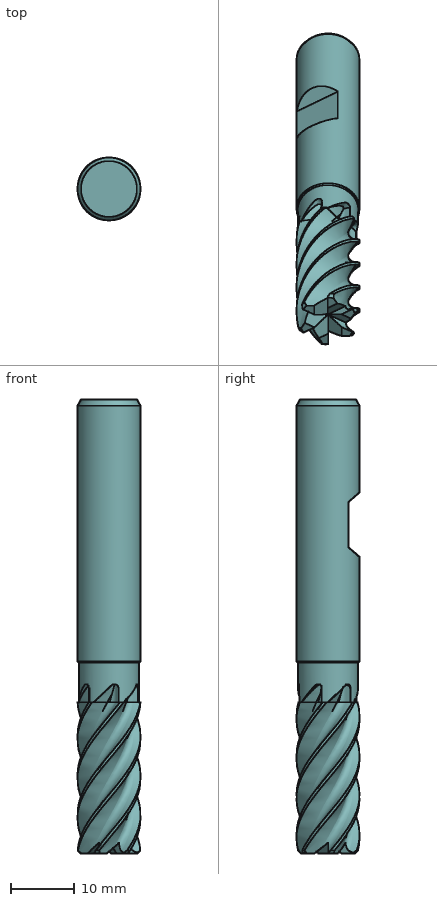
import cadquery as cq
import math

TOTAL_LENGTH = 72.0
TOOL_DIAMETER = 10.0

SHANK_BOTTOM = 30.25
SHANK_CHAMFER_HEIGHT = 1.0
SHANK_CHAMFER_WIDTH = 0.6
NOTCH_DEPTH = 1.7
NOTCH_CENTRE = 52.1
NOTCH_FLOOR_LENGTH = 7.2
NOTCH_MOUTH_LENGTH = 10.2

NECK_DIAMETER = 9.6

CUTTER_LENGTH = 24.0
FLUTE_COUNT = 6
HELIX_ANGLE = 40.0
LAND_ANGLE = 7.0
ROOT_RADIUS = 3.0
ROOT_ANGLE = 51.0
ROOT_FILLET = 1.15
CORNER_CHAMFER = 0.5

GASH_HEIGHT = 1.7
GASH_WIDTH = 2.15

RUNOUT_HEIGHT = 2.9
RUNOUT_TIP_RADIUS = 0.65
RUNOUT_TIP_OFFSET = 0.9
RUNOUT_START_OFFSET = -2.45
RUNOUT_LAG = 20.3

CLEARANCE = 1.45

tool_radius = TOOL_DIAMETER / 2
neck_radius = NECK_DIAMETER / 2
tooth_pitch = 360.0 / FLUTE_COUNT
helix_lead = math.pi * TOOL_DIAMETER / math.tan(math.radians(HELIX_ANGLE))
cutter_twist = 360.0 * CUTTER_LENGTH / helix_lead
runout_twist = 360.0 * RUNOUT_HEIGHT / helix_lead


def polar(radius, degrees):
    angle = math.radians(degrees)
    return cq.Vector(radius * math.cos(angle), radius * math.sin(angle))


def flat_point(vector):
    return (vector.x, vector.y)


def rounded_corner(before, corner, after, radius):
    """Start, middle and end of the arc that rounds the corner of a bent line."""
    to_before = (before - corner).normalized()
    to_after = (after - corner).normalized()
    half_angle = to_before.getAngle(to_after) / 2
    tangent_length = radius / math.tan(half_angle)
    middle_distance = radius / math.sin(half_angle) - radius
    bisector = (to_before + to_after).normalized()
    return (
        corner + to_before * tangent_length,
        corner + bisector * middle_distance,
        corner + to_after * tangent_length,
    )


def add_flute_wall(outline, start):
    """Tooth back, rounded root and rake face, from the land end to the next cutting edge."""
    back_start = polar(tool_radius, start + LAND_ANGLE)
    root = polar(ROOT_RADIUS, start + ROOT_ANGLE)
    cutting_edge = polar(tool_radius, start + tooth_pitch)
    arc_start, arc_middle, arc_end = rounded_corner(back_start, root, cutting_edge, ROOT_FILLET)
    outline = outline.lineTo(arc_start.x, arc_start.y)
    outline = outline.threePointArc(flat_point(arc_middle), flat_point(arc_end))
    return outline.lineTo(cutting_edge.x, cutting_edge.y)


def make_cutter():
    outline = cq.Workplane("XY").moveTo(tool_radius, 0)
    for tooth in range(FLUTE_COUNT):
        start = tooth * tooth_pitch
        land_middle = polar(tool_radius, start + LAND_ANGLE / 2)
        land_end = polar(tool_radius, start + LAND_ANGLE)
        outline = outline.threePointArc(flat_point(land_middle), flat_point(land_end))
        outline = add_flute_wall(outline, start)
    fluted = outline.close().twistExtrude(CUTTER_LENGTH, cutter_twist)
    body = fluted.cut(corner_ring())
    for tooth in range(FLUTE_COUNT):
        body = body.cut(end_gash(tooth * tooth_pitch))
    return body


def corner_ring():
    """Ring that bevels the tooth corners at the tip."""
    inner = tool_radius - CORNER_CHAMFER - CLEARANCE
    outer = tool_radius + CLEARANCE
    return (
        cq.Workplane("XZ")
        .polyline([(inner, -CLEARANCE), (outer, CORNER_CHAMFER + CLEARANCE), (outer, -CLEARANCE)])
        .close()
        .revolve(360, (0, 0), (0, 1))
    )


def end_gash(edge_angle):
    """Radial wedge with one upright wall through the cutting edge, open at the tip."""
    plane = cq.Plane(origin=(0, 0, 0), xDir=polar(1, edge_angle + 90), normal=polar(1, edge_angle))
    return (
        cq.Workplane(plane)
        .polyline([(0, 0), (0, GASH_HEIGHT), (-GASH_WIDTH, 0)])
        .close()
        .extrude(tool_radius + CLEARANCE)
    )


def flute_section(start):
    """Closed outline of one flute at the top of the cutter, open past the tool surface."""
    beyond = tool_radius + CLEARANCE
    land_end = polar(tool_radius, start + LAND_ANGLE)
    outline = cq.Workplane("XY", origin=(0, 0, CUTTER_LENGTH)).moveTo(land_end.x, land_end.y)
    outline = add_flute_wall(outline, start)
    for angle in (start + tooth_pitch, start + tooth_pitch / 2, start + LAND_ANGLE):
        corner = polar(beyond, angle)
        outline = outline.lineTo(corner.x, corner.y)
    return outline.close()


def runout_window(facing):
    """Radial prism with a slanted side and a round tip that bounds one run-out."""
    tip_height = RUNOUT_HEIGHT - RUNOUT_TIP_RADIUS
    tip_run = RUNOUT_TIP_OFFSET - RUNOUT_START_OFFSET
    reach = math.hypot(tip_run, tip_height)
    slant = math.degrees(math.atan2(tip_height, tip_run) + math.asin(RUNOUT_TIP_RADIUS / reach))
    tip_centre = cq.Vector(RUNOUT_TIP_OFFSET, tip_height)
    slant_end = tip_centre + polar(RUNOUT_TIP_RADIUS, slant + 90)
    tip_middle = tip_centre + polar(RUNOUT_TIP_RADIUS, (slant + 90) / 2)
    tip_end = tip_centre + polar(RUNOUT_TIP_RADIUS, 0)
    plane = cq.Plane(origin=(0, 0, CUTTER_LENGTH), xDir=polar(1, facing + 90), normal=polar(1, facing))
    return (
        cq.Workplane(plane)
        .moveTo(RUNOUT_START_OFFSET, 0)
        .lineTo(slant_end.x, slant_end.y)
        .threePointArc(flat_point(tip_middle), flat_point(tip_end))
        .lineTo(tip_end.x, 0)
        .close()
        .extrude(tool_radius + CLEARANCE)
    )


def flute_runout(start):
    """End of one flute: its back keeps twisting while its rake side runs straight up."""
    straight = flute_section(start).extrude(RUNOUT_HEIGHT)
    twisted = flute_section(start).twistExtrude(RUNOUT_HEIGHT, runout_twist)
    window = runout_window(start + tooth_pitch - RUNOUT_LAG)
    return straight.intersect(twisted).intersect(window)


def clamping_notch():
    """Flat-bottomed notch with sloping ends on the +Y side."""
    floor = tool_radius - NOTCH_DEPTH
    slope = (NOTCH_MOUTH_LENGTH - NOTCH_FLOOR_LENGTH) / 2 / NOTCH_DEPTH
    top = NOTCH_DEPTH + CLEARANCE
    half_floor = NOTCH_FLOOR_LENGTH / 2
    half_top = half_floor + slope * top
    return (
        cq.Workplane("YZ", origin=(-tool_radius, floor, NOTCH_CENTRE))
        .polyline([(0, -half_floor), (0, half_floor), (top, half_top), (top, -half_top)])
        .close()
        .extrude(TOOL_DIAMETER)
    )


def make_shank():
    profile = [
        (0, CUTTER_LENGTH),
        (neck_radius, CUTTER_LENGTH),
        (neck_radius, SHANK_BOTTOM),
        (tool_radius, SHANK_BOTTOM + tool_radius - neck_radius),
        (tool_radius, TOTAL_LENGTH - SHANK_CHAMFER_HEIGHT),
        (tool_radius - SHANK_CHAMFER_WIDTH, TOTAL_LENGTH),
        (0, TOTAL_LENGTH),
    ]
    body = cq.Workplane("XZ").polyline(profile).close().revolve(360, (0, 0), (0, 1))
    for flute in range(FLUTE_COUNT):
        body = body.cut(flute_runout(cutter_twist + flute * tooth_pitch))
    return body.cut(clamping_notch())


cutter = make_cutter()
shank = make_shank()
result = cq.Compound.makeCompound([cutter.val(), shank.val()])